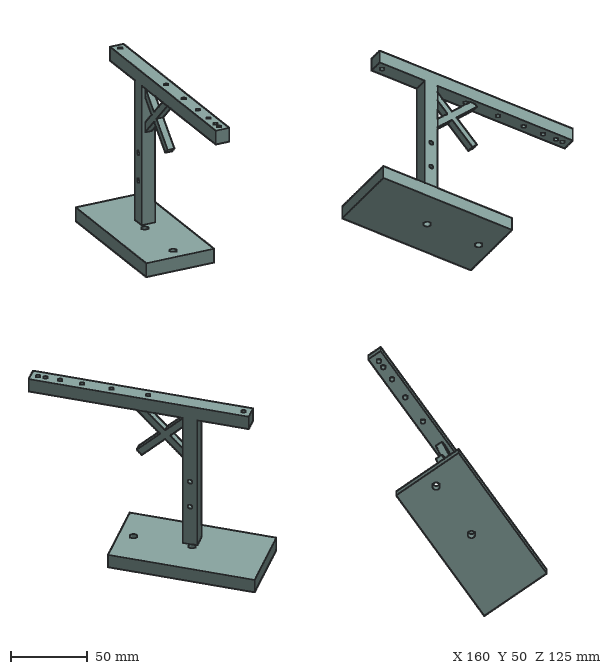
import cadquery as cq
import math

overall_length = 160.0
base_length = 100.0
post_height = 100.0
bar_hole_diameter = 3.0
base_hole_diameter = 5.0
brace_angle = 45.0

bar_size = base_length / 10

base_width = base_length / 2
base_thickness = bar_size
base_hole_end_distance = bar_size

post_gap = bar_size / 2
post_x = base_length / 2
post_bottom = base_thickness + post_gap
post_top = post_bottom + post_height
post_hole_spacing = 20.0
upper_post_hole_z = post_bottom + post_height / 2
lower_post_hole_z = upper_post_hole_z - post_hole_spacing

beam_start = bar_size
beam_length = overall_length - beam_start
beam_hole_margin = bar_size / 2
free_end_hole_count = 6
hole_gap_step = bar_size / 2

brace_length = base_length / 2
brace_section = bar_size / 2
brace_centre_x = post_x + brace_length / 2 * math.cos(math.radians(brace_angle))
brace_centre_z = post_top - brace_length / 2 * math.sin(math.radians(brace_angle))


def make_base():
    """Plate with one hole under the post and one near the far end."""
    plate = cq.Workplane("XY").box(base_length, base_width, base_thickness, centered=(False, True, False))
    hole_points = [(post_x, 0), (base_length - base_hole_end_distance, 0)]
    holes = cq.Workplane("XY").pushPoints(hole_points).circle(base_hole_diameter / 2).extrude(base_thickness)
    return plate.cut(holes)


def make_brace(tilt):
    """Square bar lying along X, tilted about its centre in the XZ plane."""
    brace = cq.Workplane("XY").box(brace_length, brace_section, brace_section)
    brace = brace.rotate((0, 0, 0), (0, 1, 0), tilt)
    return brace.translate((brace_centre_x, 0, brace_centre_z))


def make_post_holes():
    """Cross holes through the post along Y."""
    points = [(post_x, lower_post_hole_z), (post_x, upper_post_hole_z)]
    return cq.Workplane("XZ").pushPoints(points).circle(bar_hole_diameter / 2).extrude(bar_size, both=True)


def make_beam_holes():
    """One vertical hole at the start of the beam and a row closing up toward its free end."""
    points = [(beam_start + beam_hole_margin, 0)]
    hole_x = overall_length - beam_hole_margin
    for gap_number in range(1, free_end_hole_count + 1):
        points.append((hole_x, 0))
        hole_x -= gap_number * hole_gap_step
    hole_centres = cq.Workplane("XY").workplane(offset=post_top).pushPoints(points)
    return hole_centres.circle(bar_hole_diameter / 2).extrude(bar_size)


def make_gallows():
    """Post, beam and crossed braces as one piece, with all its holes."""
    post = cq.Workplane("XY").box(bar_size, bar_size, post_height, centered=(True, True, False))
    post = post.translate((post_x, 0, post_bottom))
    beam = cq.Workplane("XY").box(beam_length, bar_size, bar_size, centered=(False, True, False))
    beam = beam.translate((beam_start, 0, post_top))
    frame = post.union(beam)
    for tilt in (brace_angle, -brace_angle):
        frame = frame.union(make_brace(tilt))
    frame = frame.cut(make_post_holes()).cut(make_beam_holes())
    return frame.solids()


base = make_base()
gallows = make_gallows()
result = cq.Compound.makeCompound([base.val(), gallows.val()])